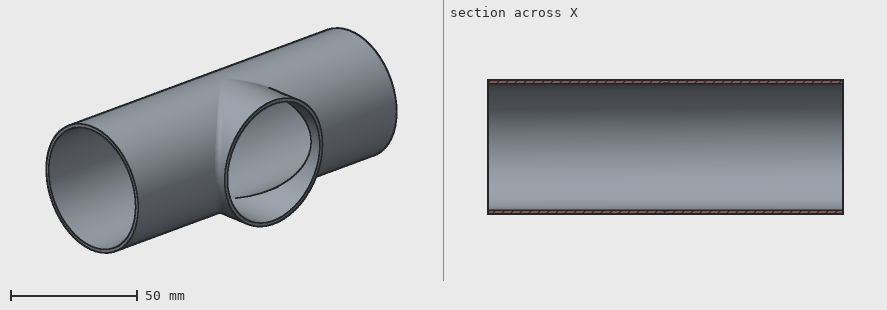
import cadquery as cq

outer_diameter = 53.0
bore_diameter = 50.0
run_length = 140.0
branch_reach = 30.0
crotch_radius = 2.0


def run_cylinder(diameter):
    """Solid cylinder along Y, centred on the origin."""
    return cq.Workplane("XZ").circle(diameter / 2).extrude(run_length / 2, both=True)


def branch_cylinder(diameter):
    """Solid cylinder along +X, from the run axis to the branch end face."""
    return cq.Workplane("YZ").circle(diameter / 2).extrude(branch_reach)


def tee(diameter):
    """Run and branch of equal diameter, joined into one solid."""
    return run_cylinder(diameter).union(branch_cylinder(diameter))


outer_body = tee(outer_diameter).edges("%ELLIPSE").fillet(crotch_radius)

result = outer_body.cut(tee(bore_diameter))